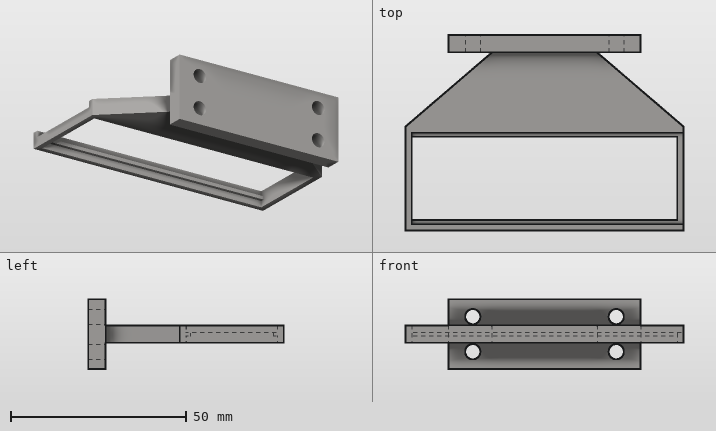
import cadquery as cq

frame_width = 79.4
total_depth = 55.9
thickness = 5.0

plate_width = 54.95
plate_height = 20.0
plate_thickness = 5.0
hole_diameter = 4.3
hole_spacing_x = 41.0
hole_spacing_z = 10.0

neck_width = 30.0
frame_depth = 29.7
wall = 1.8
slot_depth = 26.1
slot_drop = 2.0
rail_width = 1.2
rail_height = 1.0

frame_top = thickness / 2
plate_front = total_depth - plate_thickness
slot_width = frame_width - wall
opening_width = frame_width - 2 * wall
slot_left = -frame_width / 2 + wall
slot_back = wall + slot_depth
rail_top = frame_top - slot_drop
rail_bottom = rail_top - rail_height


def box(x, y, z, width, depth, height):
    """Box with its lowest corner at (x, y, z)."""
    return cq.Workplane("XY").box(width, depth, height, centered=False).translate((x, y, z))


def mounting_plate():
    plate = box(-plate_width / 2, plate_front, -plate_height / 2, plate_width, plate_thickness, plate_height)
    return (
        plate.faces("<Y").workplane(centerOption="CenterOfMass")
        .rarray(hole_spacing_x, hole_spacing_z, 2, 2)
        .hole(hole_diameter)
    )


def bracket_body():
    outline = [
        (-frame_width / 2, 0),
        (frame_width / 2, 0),
        (frame_width / 2, frame_depth),
        (neck_width / 2, plate_front),
        (-neck_width / 2, plate_front),
        (-frame_width / 2, frame_depth),
    ]
    return cq.Workplane("XY").workplane(offset=-thickness / 2).polyline(outline).close().extrude(thickness)


def rail(y):
    """Thin ledge along the slot, spanning the opening."""
    return box(slot_left, y, rail_bottom, opening_width, rail_width, rail_height)


slot = box(slot_left, wall, rail_top, slot_width, slot_depth, slot_drop)
opening = box(slot_left, wall, -thickness / 2, opening_width, slot_depth, thickness)

result = bracket_body().cut(slot).cut(opening)
for rail_front in (wall, slot_back - rail_width):
    result = result.union(rail(rail_front))
result = result.union(mounting_plate())